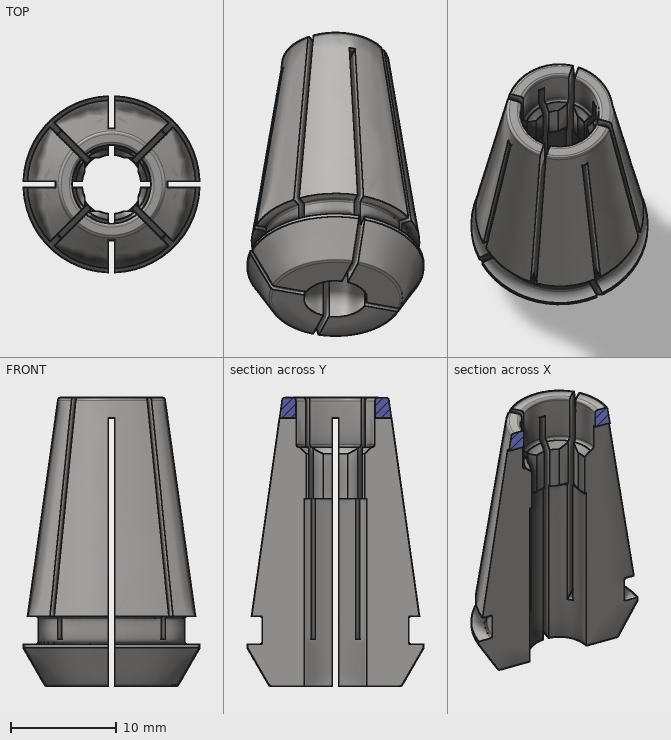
import cadquery as cq
import math


length = 27.5
flange_rim_bottom = 3.65
flange_top = 4.02
cone_bottom = 6.65

flange_width = 16.8
neck_radius = 6.98
cone_base_radius = 8.0
cone_half_angle = math.radians(8)
nut_half_angle = math.radians(30)

edge_radius = 0.3
neck_fillet = 0.2

shank_radius = 3.0
shank_depth = 17.88
pilot_radius = 2.8
square_side = 5.1
clearance_radius = 3.75
clearance_bottom = 22.75
lead_in_radius = 3.4
lead_in_half_angle = math.radians(45)

slit_width = 0.58
slits_per_end = 4
lower_slit_top = 25.52
upper_slit_floor = 4.48

flange_radius = math.hypot(flange_width / 2, slit_width / 2)
cone_top_radius = cone_base_radius - (length - cone_bottom) * math.tan(cone_half_angle)
nut_face_radius = flange_radius - flange_rim_bottom * math.tan(nut_half_angle)
lead_in_bottom = clearance_bottom - (lead_in_radius - pilot_radius) / math.tan(lead_in_half_angle)


def revolve_about_axis(points):
    """Solid of revolution about Z from (radius, height) points."""
    return cq.Workplane("XZ").polyline(points).close().revolve(360, (0, 0, 0), (0, 1, 0))


def circle_edges(body, radius, height):
    """Circular edges centred on the axis with the given radius and height."""
    tolerance = 0.0003
    return body.edges("%CIRCLE").filter(
        lambda edge: abs(edge.radius() - radius) < tolerance
        and abs(edge.Center().z - height) < tolerance
    )


def make_body():
    """Outer body: nut cone, flange, neck and clamping cone."""
    body = revolve_about_axis([
        (0, 0),
        (nut_face_radius, 0),
        (flange_radius, flange_rim_bottom),
        (flange_radius, flange_top),
        (neck_radius, flange_top),
        (neck_radius, cone_bottom),
        (cone_base_radius, cone_bottom),
        (cone_top_radius, length),
        (0, length),
    ])
    body = circle_edges(body, nut_face_radius, 0).fillet(edge_radius)
    body = circle_edges(body, cone_top_radius, length).fillet(edge_radius)
    for height in (flange_top, cone_bottom):
        body = circle_edges(body, neck_radius, height).fillet(neck_fillet)
    return body


def make_hole():
    """Hole volume: shank bore, square driver on a pilot hole with a conical lead-in, clearance bore."""
    hole = revolve_about_axis([
        (0, 0),
        (shank_radius, 0),
        (shank_radius, shank_depth),
        (pilot_radius, shank_depth),
        (pilot_radius, lead_in_bottom),
        (lead_in_radius, clearance_bottom),
        (clearance_radius, clearance_bottom),
        (clearance_radius, length),
        (0, length),
    ])
    hole = circle_edges(hole, clearance_radius, clearance_bottom).fillet(edge_radius)
    square = (
        cq.Workplane("XY")
        .workplane(offset=shank_depth)
        .rect(square_side, square_side)
        .extrude(clearance_bottom - shank_depth)
    )
    return hole.union(square)


def cut_slits(body, first_angle, bottom, top):
    """Cut evenly spaced radial slits between two heights."""
    for index in range(slits_per_end):
        slit = (
            cq.Workplane("XY")
            .workplane(offset=bottom)
            .center(flange_radius / 2, 0)
            .rect(flange_radius + slit_width, slit_width)
            .extrude(top - bottom)
            .rotate((0, 0, 0), (0, 0, 1), first_angle + index * 360 / slits_per_end)
        )
        body = body.cut(slit)
    return body


collet = make_body().cut(make_hole())
collet = circle_edges(collet, clearance_radius, length).fillet(edge_radius)
collet = cut_slits(collet, 0, 0, lower_slit_top)
result = cut_slits(collet, 180 / slits_per_end, upper_slit_floor, length)